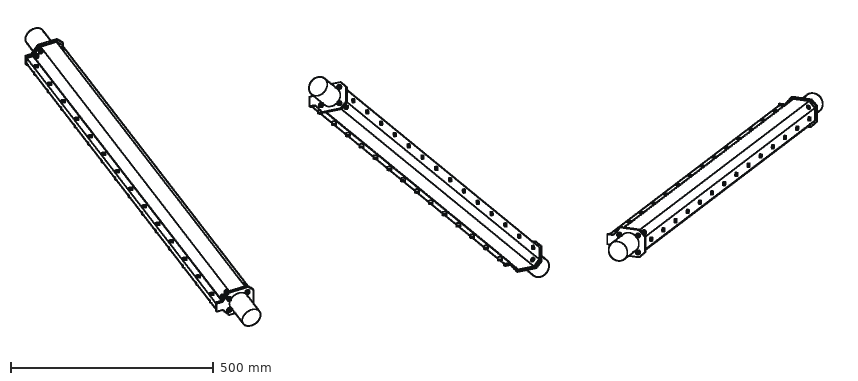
import cadquery as cq
import math

overall_length = 1223.98
overall_width = 101.23
overall_height = 71.12
shaft_diameter = 50.8

plate_thickness = 6.35
plate_back_y = 41.1
plate_front_y = plate_back_y - overall_width
plate_half_height = overall_height / 2
plate_top_half_width = 26
plate_back_half_height = 20.5
ear_half_height = 12.9
ear_root_y = -44.6

body_length = 1066.8
plate_margin = 3.5
back_half_height = 16.5
rail_setback = 0.6
rail_half_height = 9.3
rail_root_y = -42.4
slope_foot_half_height = 11.3

body_half_height = plate_half_height - plate_margin
body_back_y = plate_back_y - plate_margin
top_front_y = rail_root_y + (body_half_height - slope_foot_half_height)
top_back_y = body_back_y - (body_half_height - back_half_height)

screw_count = 14
screw_pitch = 76.2
rail_screw_y = -52.5
rail_hole_diameter = 7.6
rail_counterbore_diameter = 11
rail_counterbore_depth = 3
rail_head_diameter = 11
rail_head_height = 6
back_head_diameter = 9.5
back_head_height = plate_margin

plate_bolt_diameter = 10.5
plate_bolt_height = 4
plate_bolt_socket_diameter = 5
plate_bolt_socket_depth = 2
back_bolt_position = (23.5, 22)
front_bolt_position = (-27, 17.5)

slope_counterbore_depth = 3
slope_hole_depth = 10
slope_hole_diameter = 7.6
front_slope_counterbore_diameter = 11
front_slope_hole_spacing = 15
front_slope_hole_inset = 10.5
back_slope_counterbore_diameter = 10.5
back_slope_hole_inset = 20

half_body = body_length / 2
half_shaft = overall_length / 2
plate_outer_x = half_body + plate_thickness
OVERLAP = 1.0


def cylinder(start, direction, diameter, height):
    """Solid cylinder growing from a start point along a direction."""
    return cq.Workplane(
        cq.Solid.makeCylinder(diameter / 2, height, cq.Vector(*start), cq.Vector(*direction))
    )


def section(start_x, length, upper_points):
    """Extrude along X a YZ outline that mirrors its upper half about Z = 0."""
    lower_points = [(y, -z) for y, z in reversed(upper_points)]
    outline = cq.Workplane("YZ", origin=(start_x, 0, 0)).polyline(upper_points + lower_points)
    return outline.close().extrude(length)


def make_body():
    """Long body with sloped sides and the rail."""
    return section(-half_body, body_length, [
        (plate_front_y + rail_setback, rail_half_height),
        (rail_root_y, rail_half_height),
        (rail_root_y, slope_foot_half_height),
        (top_front_y, body_half_height),
        (top_back_y, body_half_height),
        (body_back_y, back_half_height),
    ])


def make_plate(start_x):
    """End plate with an ear that covers the rail."""
    return section(start_x, plate_thickness, [
        (plate_front_y, ear_half_height),
        (ear_root_y, ear_half_height),
        (-plate_top_half_width, plate_half_height),
        (plate_top_half_width, plate_half_height),
        (plate_back_y, plate_back_half_height),
    ])


def counterbored_hole(start, direction, sizes):
    """Cutter for a counterbored hole; sizes are bore and depth, counterbore and depth."""
    hole_diameter, hole_depth, counterbore_diameter, counterbore_depth = sizes
    hole = cylinder(start, direction, hole_diameter, hole_depth)
    return hole.union(cylinder(start, direction, counterbore_diameter, counterbore_depth))


def add_plate_bolts(part, end):
    """Socketed bolt heads on the outer face of one end plate (end is -1 or +1)."""
    head_end_x = end * (plate_outer_x + plate_bolt_height)
    for y, z in (back_bolt_position, front_bolt_position):
        for side in (-1, 1):
            start = (head_end_x, y, side * z)
            head = cylinder(start, (-end, 0, 0), plate_bolt_diameter, plate_bolt_height + OVERLAP)
            socket = cylinder(start, (-end, 0, 0), plate_bolt_socket_diameter, plate_bolt_socket_depth)
            part = part.union(head.cut(socket))
    return part


def cut_slope_holes(part, end):
    """Blind counterbored holes square to the sloped faces near one end (end is -1 or +1)."""
    front_middle_y = (top_front_y + rail_root_y) / 2
    front_middle_z = (body_half_height + slope_foot_half_height) / 2
    back_middle_y = (top_back_y + body_back_y) / 2
    back_middle_z = (body_half_height + back_half_height) / 2
    step = front_slope_hole_spacing / 2 * math.sqrt(0.5)
    front_x = end * (half_body - front_slope_hole_inset)
    back_x = end * (half_body - back_slope_hole_inset)
    front_sizes = (slope_hole_diameter, slope_hole_depth,
                   front_slope_counterbore_diameter, slope_counterbore_depth)
    back_sizes = (slope_hole_diameter, slope_hole_depth,
                  back_slope_counterbore_diameter, slope_counterbore_depth)
    for side in (-1, 1):
        for offset in (-step, step):
            start = (front_x, front_middle_y + offset, side * (front_middle_z + offset))
            part = part.cut(counterbored_hole(start, (0, 1, -side), front_sizes))
        start = (back_x, back_middle_y, side * back_middle_z)
        part = part.cut(counterbored_hole(start, (0, -1, -side), back_sizes))
    return part


def add_screw_rows(part):
    """Counterbored rail holes with heads underneath, and heads on the +Y face."""
    rail_sizes = (rail_hole_diameter, 2 * rail_half_height,
                  rail_counterbore_diameter, rail_counterbore_depth)
    for index in range(screw_count):
        x = (index - (screw_count - 1) / 2) * screw_pitch
        rail_head = cylinder((x, rail_screw_y, OVERLAP - rail_half_height), (0, 0, -1),
                             rail_head_diameter, rail_head_height + OVERLAP)
        rail_hole = counterbored_hole((x, rail_screw_y, rail_half_height), (0, 0, -1), rail_sizes)
        back_head = cylinder((x, body_back_y - OVERLAP, 0), (0, 1, 0),
                             back_head_diameter, back_head_height + OVERLAP)
        part = part.cut(rail_hole).union(rail_head).union(back_head)
    return part


result = add_screw_rows(make_body())
for end in (-1, 1):
    result = cut_slope_holes(result, end)
    result = result.union(make_plate(-plate_outer_x if end < 0 else half_body))
    result = add_plate_bolts(result, end)
result = result.union(cylinder((-half_shaft, 0, 0), (1, 0, 0), shaft_diameter, overall_length))